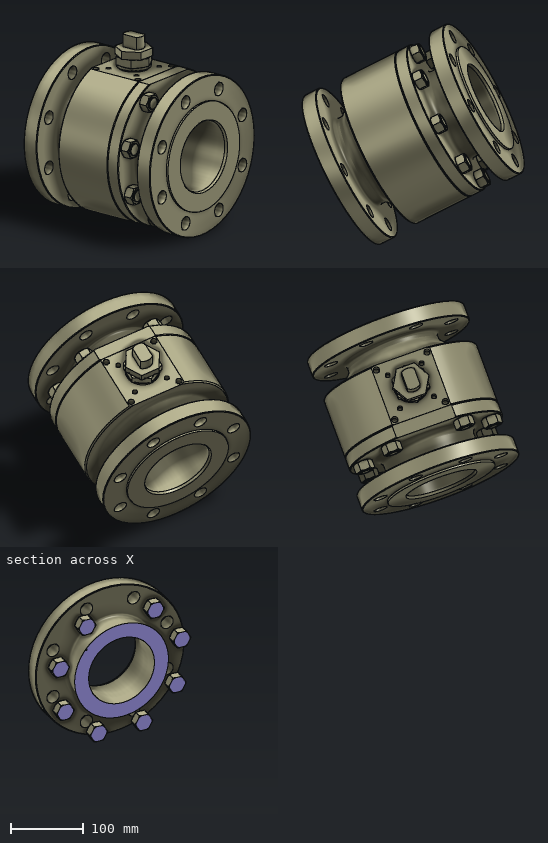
import cadquery as cq
import math


left_end = -105.0
face_to_face = 229.0
right_end = left_end + face_to_face
bore_dia = 101.0
bore_chamfer_length = 4.0
bore_chamfer_width = 1.3
raised_face_dia = 157.0
raised_face_height = 3.0
flange_dia = 230.0
flange_thickness = 23.0
flange_chamfer = 1.0
flange_hole_dia = 19.0
flange_hole_count = 8
flange_bolt_circle = 190.5

neck_radius = 132.0 / 2
flange_neck_fillet = 5.3
cap_neck_fillet = 10.7
cone_mouth_radius = 88.5
cone_angle = 45.0
neck_cone_fillet = 8.5
cone_body_fillet = 9.5

body_left = -43.7
joint_x = 43.7
cap_right = 62.5
body_radius = 112.0
body_left_chamfer = 1.9
joint_chamfer = 1.0
pad_height = 103.5
cap_pad_drop = 0.3

stud_circle_radius = 97.0
stud_count = 8
stud_pitch = 42.0
nut_height = 13.9
nut_flats = 24.0
nut_face_dia = 23.0
nut_chamfer_angle = 30.0
stud_dia = 18.0
stud_tip_dia = 16.0
stud_projection = 0.8

tolerance = 0.03

pad_holes = [(37.0, 8.5, 13.3), (24.8, 6.7, 10.7)]
drill_tip_angle = 118.0

gland_dia = 42.0
gland_top = 106.0
disc_dia = 48.0
disc_top = 109.8
stem_nut_corners = 53.0
lower_stem_nut_top = 121.8
upper_stem_nut_top = 133.2
stem_dia = 30.5
stem_flats = 18.7
stem_top = 266.5 - flange_dia / 2


def disc_x(start, end, diameter):
    """Cylinder on the bore axis between two X positions."""
    return cq.Workplane("YZ", origin=(start, 0, 0)).circle(diameter / 2).extrude(end - start)


def hex_x(start, end, corners):
    """Hexagonal bar along X with corners pointing along Y."""
    return cq.Workplane("YZ", origin=(start, 0, 0)).polygon(6, corners).extrude(end - start)


def disc_z(bottom, top, diameter):
    """Cylinder on the stem axis between two heights."""
    return cq.Workplane("XY", origin=(0, 0, bottom)).circle(diameter / 2).extrude(top - bottom)


def nut_z(bottom, top, turn):
    """Hexagonal nut on the stem axis, turned from having corners along X."""
    nut = cq.Workplane("XY", origin=(0, 0, bottom)).polygon(6, stem_nut_corners).extrude(top - bottom)
    return nut.rotate((0, 0, 0), (0, 0, 1), turn)


def revolve_x(points):
    """Solid of revolution about the bore axis from (x, radius) points."""
    return cq.Workplane("XY").polyline(points).close().revolve(360, (0, 0, 0), (1, 0, 0))


def ring_fillet(solid, x, radius, fillet):
    """Round the circular edge of the given radius at the given X."""
    def on_ring(edge):
        box = edge.BoundingBox()
        flat_at_x = box.xlen < tolerance and abs(box.center.x - x) < tolerance
        return flat_at_x and abs(box.zmax - radius) < tolerance

    return solid.edges("%CIRCLE").filter(on_ring).fillet(fillet)


def make_end(end_face, inward):
    """Flange with raised face and bolt holes; inward is the X direction to the body."""
    flange_outer = end_face + inward * raised_face_height
    flange_inner = flange_outer + inward * flange_thickness
    flange = disc_x(flange_outer, flange_inner, flange_dia).edges().chamfer(flange_chamfer)
    holes = (
        cq.Workplane("YZ", origin=(flange_outer, 0, 0))
        .polarArray(flange_bolt_circle / 2, 180 / flange_hole_count, 360, flange_hole_count)
        .circle(flange_hole_dia / 2)
        .extrude(inward * flange_thickness)
    )
    return flange.cut(holes).union(disc_x(end_face, flange_outer, raised_face_dia))


def make_shell():
    """Flanges, necks, cone, body and cap, before the pad and the bore are cut."""
    flange_depth = raised_face_height + flange_thickness
    left_neck_start = left_end + flange_depth
    right_neck_end = right_end - flange_depth
    cone_length = (cone_mouth_radius - neck_radius) / math.tan(math.radians(cone_angle))
    cone_start = body_left - cone_length

    body = disc_x(body_left, joint_x, 2 * body_radius)
    body = body.faces("<X").edges().chamfer(body_left_chamfer)
    body = body.faces(">X").edges().chamfer(joint_chamfer)
    cap = disc_x(joint_x, cap_right, 2 * body_radius).edges().chamfer(joint_chamfer)
    left_neck = revolve_x([
        (left_neck_start, 0),
        (left_neck_start, neck_radius),
        (cone_start, neck_radius),
        (body_left, cone_mouth_radius),
        (body_left, 0),
    ])
    right_neck = disc_x(cap_right, right_neck_end, 2 * neck_radius)

    shell = body.union(cap).union(left_neck).union(right_neck)
    shell = shell.union(make_end(left_end, 1)).union(make_end(right_end, -1))
    shell = ring_fillet(shell, left_neck_start, neck_radius, flange_neck_fillet)
    shell = ring_fillet(shell, cone_start, neck_radius, neck_cone_fillet)
    shell = ring_fillet(shell, body_left, cone_mouth_radius, cone_body_fillet)
    shell = ring_fillet(shell, cap_right, neck_radius, cap_neck_fillet)
    return ring_fillet(shell, right_neck_end, neck_radius, flange_neck_fillet)


def cut_pad(shell):
    """Flatten the top of the body and cap and drill the mounting holes."""
    def block(start, end, bottom):
        size = (end - start, 2 * body_radius, body_radius)
        return cq.Workplane("XY", origin=(start, -body_radius, bottom)).box(*size, centered=False)

    shell = shell.cut(block(body_left, joint_x, pad_height))
    shell = shell.cut(block(joint_x, cap_right, pad_height - cap_pad_drop))
    for half_spacing, diameter, depth in pad_holes:
        radius = diameter / 2
        tip = radius / math.tan(math.radians(drill_tip_angle / 2))
        drill = (
            cq.Workplane("XZ")
            .polyline([
                (0, pad_height),
                (radius, pad_height),
                (radius, pad_height - depth),
                (0, pad_height - depth - tip),
            ])
            .close()
            .revolve(360, (0, 0, 0), (0, 1, 0))
        )
        for x in (-half_spacing, half_spacing):
            for y in (-half_spacing, half_spacing):
                shell = shell.cut(drill.translate((x, y, 0)))
    return shell


def make_cap_nut():
    """Hexagonal nut chamfered at both ends, with the tapered stud tip showing beyond it."""
    nut_end = cap_right + nut_height
    corner_radius = nut_flats / math.sqrt(3)
    face_radius = nut_face_dia / 2
    chamfer_length = (corner_radius - face_radius) * math.tan(math.radians(nut_chamfer_angle))
    turned_blank = revolve_x([
        (cap_right, 0),
        (cap_right, face_radius),
        (cap_right + chamfer_length, corner_radius),
        (nut_end - chamfer_length, corner_radius),
        (nut_end, face_radius),
        (nut_end, 0),
    ])
    stud_tip = revolve_x([
        (nut_end, 0),
        (nut_end, stud_dia / 2),
        (nut_end + stud_projection, stud_tip_dia / 2),
        (nut_end + stud_projection, 0),
    ])
    return hex_x(cap_right, nut_end, 2 * corner_radius).intersect(turned_blank).union(stud_tip)


def add_cap_nuts(valve):
    """Place the cap nuts, all with the same hexagon orientation."""
    nut = make_cap_nut()
    for step in range(stud_count // 2):
        angle = math.radians(-90 + stud_pitch * (step + 0.5))
        y = stud_circle_radius * math.cos(angle)
        z = stud_circle_radius * math.sin(angle)
        for side in (-1, 1):
            valve = valve.union(nut.translate((0, side * y, z)))
    return valve


def make_stem():
    """Gland, disc, two nuts turned against each other and the double-flat stem."""
    square_end = disc_z(upper_stem_nut_top, stem_top, stem_dia).intersect(
        cq.Workplane("XY").box(stem_dia, stem_flats, 2 * stem_top)
    )
    return (
        disc_z(pad_height, gland_top, gland_dia)
        .union(disc_z(gland_top, disc_top, disc_dia))
        .union(nut_z(disc_top, lower_stem_nut_top, 0))
        .union(nut_z(lower_stem_nut_top, upper_stem_nut_top, 30))
        .union(square_end)
    )


def cut_bore(shell):
    """Through bore with a small chamfer at each end."""
    radius = bore_dia / 2
    mouth = radius + bore_chamfer_width
    return shell.cut(revolve_x([
        (left_end, 0),
        (left_end, mouth),
        (left_end + bore_chamfer_length, radius),
        (right_end - bore_chamfer_length, radius),
        (right_end, mouth),
        (right_end, 0),
    ]))


result = add_cap_nuts(cut_bore(cut_pad(make_shell()))).union(make_stem())